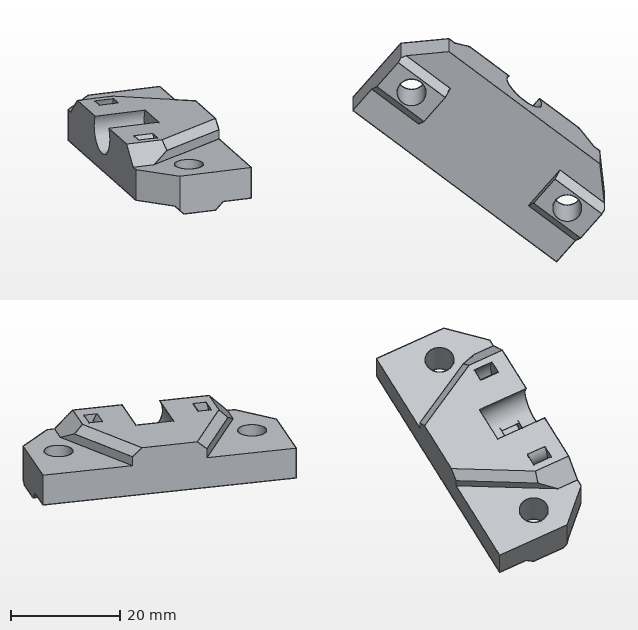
import cadquery as cq
import math

length = 48.0
depth = 20.2
height = 10.8

foot_height = 1.5
plate_top = 7.45
corner_cut = 6.25
foot_inner_x = 12.9
foot_center_y = 10.15
foot_bottom_width = 6.2
screw_diameter = 5.3
screw_x = 18.35

block_top_half_width = 12.9
block_slope_run = 3.45
block_base_half_width = block_top_half_width + block_slope_run
taper_start_y = 4.1
taper_angle = 30.0
taper_chamfer = 1.6

bore_diameter = 8.15
bore_depth = 9.75
bore_z = 8.85

strap_width = 3.65
strap_front_y = 2.9
strap_gap = 2.1
strap_inner_radius = 3.55
strap_inner_half_width = 10.0
strap_inner_bottom = 4.85


def cut_corners_plan(bottom, top):
    """Rectangle with both front corners cut at 45 degrees."""
    half = length / 2
    points = [
        (-half, depth),
        (-half, corner_cut),
        (-half + corner_cut, 0),
        (half - corner_cut, 0),
        (half, corner_cut),
        (half, depth),
    ]
    return cq.Workplane("XY").workplane(offset=bottom).polyline(points).close().extrude(top - bottom)


def make_feet():
    """Two trapezoidal feet with 45 degree flanks, trimmed to the plate outline."""
    bottom_half = foot_bottom_width / 2
    top_half = bottom_half + foot_height
    bar = (
        cq.Workplane("YZ", origin=(-length / 2, foot_center_y, 0))
        .polyline([(-bottom_half, 0), (bottom_half, 0), (top_half, foot_height), (-top_half, foot_height)])
        .close()
        .extrude(length)
    )
    middle_gap = cq.Workplane("XY").box(2 * foot_inner_x, depth, foot_height, centered=(True, False, False))
    return bar.cut(middle_gap).intersect(cut_corners_plan(0, foot_height))


def tapered_plan(inset):
    """Plan of the block with its tapered sides moved inwards by inset."""
    slope = math.tan(math.radians(taper_angle))
    inset_x = inset / math.cos(math.radians(taper_angle))
    front_half = block_base_half_width + taper_start_y * slope - inset_x
    back_half = front_half - depth * slope
    return [(-front_half, 0), (front_half, 0), (back_half, depth), (-back_half, depth)]


def make_block():
    sloped_bar = (
        cq.Workplane("XZ")
        .polyline([
            (-block_base_half_width, plate_top),
            (block_base_half_width, plate_top),
            (block_top_half_width, height),
            (-block_top_half_width, height),
        ])
        .close()
        .extrude(-depth)
    )
    chamfer_bottom = height - taper_chamfer
    lower = (
        cq.Workplane("XY", origin=(0, 0, plate_top))
        .polyline(tapered_plan(0))
        .close()
        .extrude(chamfer_bottom - plate_top)
    )
    upper = (
        cq.Workplane("XY", origin=(0, 0, chamfer_bottom))
        .polyline(tapered_plan(0))
        .close()
        .workplane(offset=taper_chamfer)
        .polyline(tapered_plan(taper_chamfer))
        .close()
        .loft(ruled=True)
    )
    return sloped_bar.intersect(lower.union(upper))


def strap_loop(offset):
    """Slot-shaped prism around the strap's inner face, grown by offset."""
    radius = strap_inner_radius + offset
    arc_center_spacing = 2 * (strap_inner_half_width - strap_inner_radius)
    center_z = strap_inner_bottom + strap_inner_radius
    return (
        cq.Workplane("XZ", origin=(0, strap_front_y, center_z))
        .slot2D(arc_center_spacing + 2 * radius, 2 * radius)
        .extrude(-strap_width)
    )


plate = cut_corners_plan(foot_height, plate_top)
body = plate.union(make_feet()).union(make_block())

screw_holes = (
    cq.Workplane("XY")
    .pushPoints([(-screw_x, foot_center_y), (screw_x, foot_center_y)])
    .circle(screw_diameter / 2)
    .extrude(height)
)
bore = cq.Workplane("XZ", origin=(0, 0, bore_z)).circle(bore_diameter / 2).extrude(-bore_depth)
strap_channel = strap_loop(strap_gap).cut(strap_loop(0))

result = body.cut(screw_holes).cut(bore).cut(strap_channel)